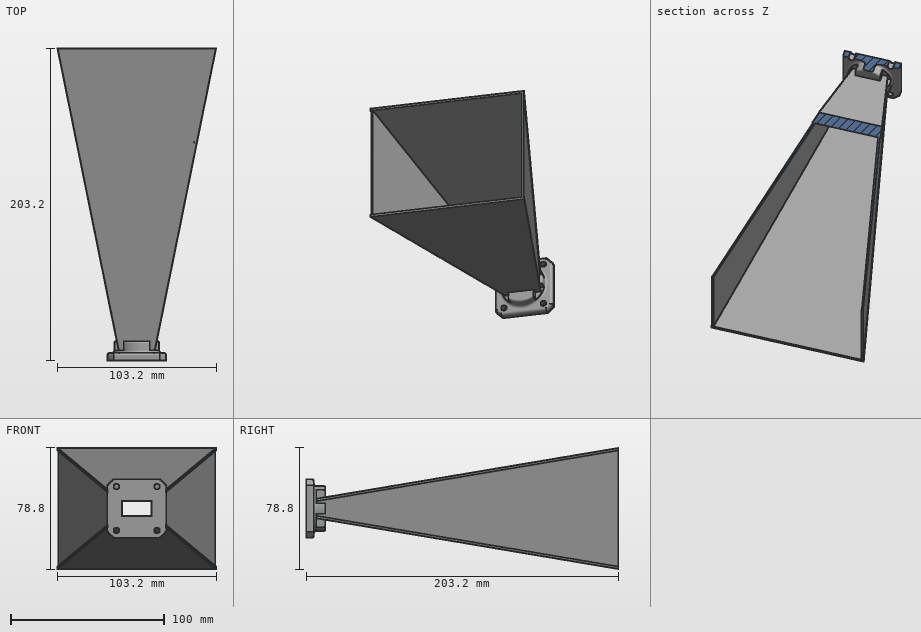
import cadquery as cq
import math


total_length = 203.2
aperture_width = 103.23
aperture_height = 78.84

flange_side = 38.3
flange_thickness = 5.08
flange_corner_chamfer = 4.1
flange_back_round = 1.8
bolt_hole_diameter = 3.66
bolt_spacing_x = 26.4
bolt_spacing_z = 28.5

boss_diameter = 29.36
boss_end_y = 12.6
boss_root_fillet = 1.7
boss_edge_fillet = 1.2
relief_floor_y = flange_thickness + boss_root_fillet
relief_inner_x = 8.3
relief_inner_z = 3.4

throat_width = 23.7
throat_height = 12.8
plate_thickness = 1.63
side_recess = 0.4

guide_width = 19.05
guide_height = 9.525
flare_start_y = relief_floor_y


def frustum(start_y, start_size, end_size):
    """Rectangular frustum from start_y to the aperture; sizes are (X, Z)."""
    return (
        cq.Workplane("XZ", origin=(0, start_y, 0))
        .rect(*start_size)
        .workplane(offset=start_y - total_length)
        .rect(*end_size)
        .loft(ruled=True, combine=True)
    )


def horn_frustum(width_change, height_change):
    """Outer horn shape with its width and height changed along the whole length."""
    return frustum(
        relief_floor_y,
        (throat_width + width_change, throat_height + height_change),
        (aperture_width + width_change, aperture_height + height_change),
    )


def rounded_back_bar(half_width, round_width):
    """Long bar along Z whose two back edges are rounded by a quarter ellipse."""
    round_start_y = flange_thickness - flange_back_round
    return (
        cq.Workplane("XY", origin=(0, 0, -flange_side))
        .lineTo(half_width, 0)
        .lineTo(half_width, round_start_y)
        .ellipseArc(round_width, flange_back_round, 0, 90, sense=1, startAtCurrent=True)
        .lineTo(0, flange_thickness)
        .mirrorY()
        .extrude(2 * flange_side)
    )


def make_flange():
    """Octagonal flange: two bars set the square, two diagonal bars cut its corners."""
    half_diagonal = (flange_side - flange_corner_chamfer) / math.sqrt(2)
    square_bar = rounded_back_bar(flange_side / 2, flange_back_round)
    corner_bar = rounded_back_bar(half_diagonal, flange_back_round / math.sqrt(2))
    flange = square_bar
    for bar, angle in ((square_bar, 90), (corner_bar, 45), (corner_bar, -45)):
        flange = flange.intersect(bar.rotate((0, 0, 0), (0, 1, 0), angle))
    return flange


def make_boss():
    """Round boss with a concave root fillet and a rounded far edge."""
    radius = boss_diameter / 2
    boss = (
        cq.Workplane("XY")
        .lineTo(radius + boss_root_fillet, 0)
        .lineTo(radius + boss_root_fillet, flange_thickness)
        .radiusArc((radius, relief_floor_y), boss_root_fillet)
        .lineTo(radius, boss_end_y - boss_edge_fillet)
        .radiusArc((radius - boss_edge_fillet, boss_end_y), -boss_edge_fillet)
        .lineTo(0, boss_end_y)
        .close()
        .revolve(360, (0, 0, 0), (0, 1, 0))
    )
    relief_length = boss_end_y - relief_floor_y
    for side_x in (-1, 1):
        for side_z in (-1, 1):
            relief = cq.Workplane("XY").box(boss_diameter, relief_length, boss_diameter).translate((
                side_x * (relief_inner_x + radius),
                relief_floor_y + relief_length / 2,
                side_z * (relief_inner_z + radius),
            ))
            boss = boss.cut(relief)
    return boss


def make_horn():
    """Solid horn: full-width top and bottom plates around a narrower core."""
    core = horn_frustum(-2 * side_recess, -2 * plate_thickness)
    between_plates = horn_frustum(2 * plate_thickness, -2 * plate_thickness)
    plates = horn_frustum(0, 0).cut(between_plates)
    return core.union(plates)


def make_bore():
    """Straight waveguide followed by the flared inside of the horn."""
    guide = cq.Workplane("XZ").rect(guide_width, guide_height).extrude(-flare_start_y)
    flare = frustum(
        flare_start_y,
        (guide_width, guide_height),
        (aperture_width - 2 * plate_thickness, aperture_height - 2 * plate_thickness),
    )
    return guide.union(flare)


def make_bolt_holes():
    return (
        cq.Workplane("XZ")
        .rect(bolt_spacing_x, bolt_spacing_z, forConstruction=True)
        .vertices()
        .circle(bolt_hole_diameter / 2)
        .extrude(-relief_floor_y)
    )


result = make_flange().union(make_boss()).union(make_horn()).cut(make_bore()).cut(make_bolt_holes())